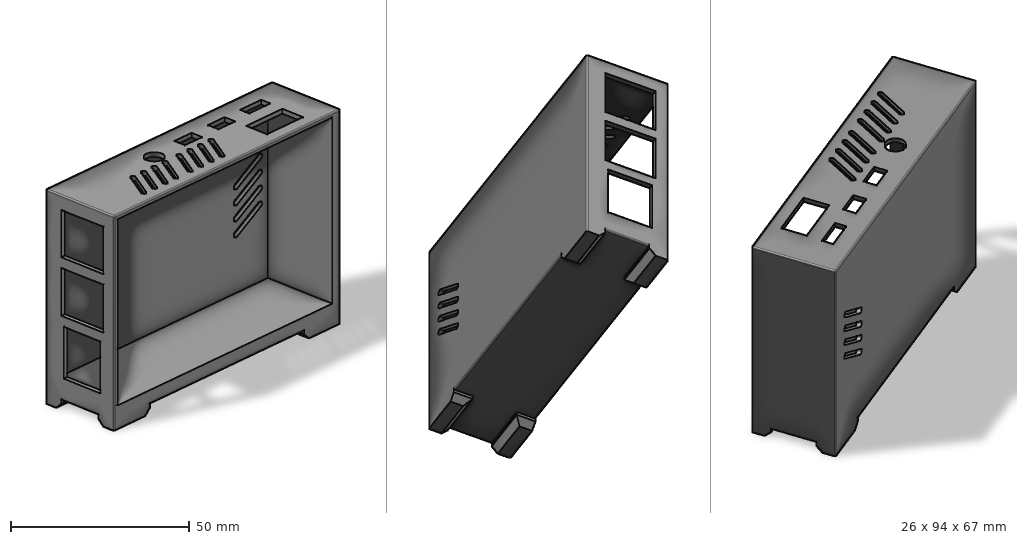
import cadquery as cq

WIDTH = 26.0
LENGTH = 94.0
HEIGHT = 67.0

WALL = 1.5
BACK_WALL = 3.4
FLOOR = 4.4
EDGE_RADIUS = 0.5

FOOT_HEIGHT = 3.0
FOOT_BEVEL = 2.0
GAP_ACROSS_X = 14.0
GAP_ALONG_Y = 64.0

WINDOWS = [
    (0.9, 55.0, 16.0, 14.8),
    (0.9, 36.85, 16.0, 14.9),
    (0.8, 18.1, 14.0, 16.2),
]

PORTS = [
    (-5.5, 31.9, 3.5, 8.7),
    (-5.3, 17.6, 4.0, 7.0),
    (-5.3, 3.8, 4.0, 7.1),
    (5.0, 28.5, 7.9, 14.9),
]
JACK_CENTRE = (-4.5, -11.2)
JACK_DIAMETER = 6.0

VENT_TILT = 30.5
VENTS_PER_GROUP = 4

TOP_VENT_LENGTH = 12.0
TOP_VENT_WIDTH = 1.5
TOP_VENT_PITCH = 4.4
TOP_VENT_X = 4.4
TOP_VENT_GROUP_YS = [-1.7, -20.9]

SIDE_VENT_LENGTH = 13.35
SIDE_VENT_WIDTH = 1.8
SIDE_VENT_PITCH = 5.0
SIDE_VENT_Y = 35.3
SIDE_VENT_GROUP_Z = 36.1

CUT_DEPTH = 2.5 * WALL


def make_case():
    """Rounded box hollowed out from its open +X side."""
    case_height = HEIGHT - FOOT_HEIGHT
    outer = (
        cq.Workplane("XY")
        .box(WIDTH, LENGTH, case_height, centered=(True, True, False))
        .edges()
        .fillet(EDGE_RADIUS)
    )
    cavity = (
        cq.Workplane("XY")
        .box(WIDTH, LENGTH - WALL - BACK_WALL, case_height - WALL - FLOOR, centered=False)
        .translate((WALL - WIDTH / 2, WALL - LENGTH / 2, FLOOR))
    )
    return outer.cut(cavity).translate((0, 0, FOOT_HEIGHT))


def gap_prism(plane, top_width, length):
    """Gap between two feet, flaring at 45 degrees towards the ground."""
    half_top = top_width / 2
    half_base = half_top + FOOT_BEVEL
    gap_top = FOOT_HEIGHT + EDGE_RADIUS
    outline = [
        (-half_base, 0),
        (-half_top, FOOT_BEVEL),
        (-half_top, gap_top),
        (half_top, gap_top),
        (half_top, FOOT_BEVEL),
        (half_base, 0),
    ]
    return cq.Workplane(plane).polyline(outline).close().extrude(length / 2, both=True)


def make_feet():
    """Four corner blocks that also fill the lower edge round of the case."""
    block = (
        cq.Workplane("XY")
        .box(WIDTH, LENGTH, FOOT_HEIGHT + EDGE_RADIUS, centered=(True, True, False))
        .edges("|Z")
        .fillet(EDGE_RADIUS)
    )
    return (
        block
        .cut(gap_prism("XZ", GAP_ACROSS_X, LENGTH))
        .cut(gap_prism("YZ", GAP_ALONG_Y, WIDTH))
    )


def front_windows():
    """Cutters for the three openings in the front wall."""
    cutters = cq.Workplane("XY")
    for x, z, width, height in WINDOWS:
        window = cq.Workplane("XY").box(width, CUT_DEPTH, height)
        cutters = cutters.add(window.translate((x, -LENGTH / 2, z)))
    return cutters.combine()


def top_ports():
    """Cutters for the round jack hole and the rectangular ports."""
    plane = cq.Workplane("XY", origin=(0, 0, HEIGHT))
    cutters = plane.center(*JACK_CENTRE).circle(JACK_DIAMETER / 2).extrude(CUT_DEPTH / 2, both=True)
    for x, y, size_x, size_y in PORTS:
        port = cq.Workplane("XY").box(size_x, size_y, CUT_DEPTH)
        cutters = cutters.union(port.translate((x, y, HEIGHT)))
    return cutters


def vent_group(plane, tilt, pitch, length, width):
    """Column of parallel slanted slots, centred on the plane's origin."""
    spots = plane.rarray(0.9, pitch, 1, VENTS_PER_GROUP)
    return spots.slot2D(length, width, tilt).extrude(CUT_DEPTH / 2, both=True)


result = make_case().union(make_feet())
result = result.cut(front_windows()).cut(top_ports())

for group_y in TOP_VENT_GROUP_YS:
    top_plane = cq.Workplane("XY", origin=(TOP_VENT_X, group_y, HEIGHT))
    result = result.cut(
        vent_group(top_plane, -VENT_TILT, TOP_VENT_PITCH, TOP_VENT_LENGTH, TOP_VENT_WIDTH)
    )

side_plane = cq.Workplane("YZ", origin=(-WIDTH / 2, SIDE_VENT_Y, SIDE_VENT_GROUP_Z))
result = result.cut(
    vent_group(side_plane, VENT_TILT, SIDE_VENT_PITCH, SIDE_VENT_LENGTH, SIDE_VENT_WIDTH)
)